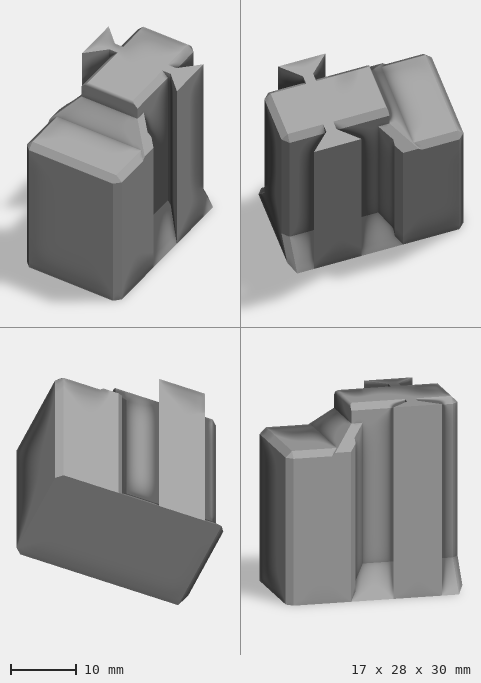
import cadquery as cq

width = 17.0
depth = 28.0
height = 30.0
bevel = 1.0
half_width = width / 2

body_height = 24.0
body_back = 11.0

shoulder_top = 27.0
shoulder_start = 4.5
gusset = 1.8

neck_half = 5.0
neck_front = body_back
neck_edge_radius = 0.5

flare_height = 4.95
flare_front = 9.0

rib_center = 20.5
rib_root_half = 0.8
rib_tip_half = 3.8
rib_root_x = half_width - (rib_tip_half - rib_root_half)


def prism_along_z(points, z_low, z_high):
    """Extrude an XY outline between two heights."""
    return cq.Workplane("XY").workplane(offset=z_low).polyline(points).close().extrude(z_high - z_low)


def symmetric(points):
    """Complete an outline given by its +X half, mirrored about x = 0."""
    return points + [(-x, other) for x, other in reversed(points)]


def foot_outline(half):
    """Plan outline of the foot with bevelled rear corners."""
    return symmetric([(half, flare_front), (half, depth - bevel), (half - bevel, depth)])


def make_body():
    """Block bevelled on its upright and top edges."""
    block = cq.Workplane("XY").box(width, body_back, body_height, centered=(True, False, False))
    return block.edges("|Z or >Z").chamfer(bevel)


def make_shoulder():
    """Roofed web between body and neck, with its back corners at 45 degrees."""
    plan = symmetric([
        (half_width, shoulder_start),
        (half_width, body_back - bevel),
        (half_width - bevel, body_back),
        (neck_half + gusset, body_back),
        (neck_half, body_back + gusset),
    ])
    block = prism_along_z(plan, 0, shoulder_top)
    side_drop = half_width - neck_half
    side_roof = (
        cq.Workplane("XZ")
        .polyline(symmetric([
            (half_width, 0),
            (half_width, shoulder_top - side_drop),
            (neck_half, shoulder_top),
        ]))
        .close()
        .extrude(-depth)
    )
    front_drop = neck_front - shoulder_start
    front_roof = (
        cq.Workplane("YZ")
        .polyline([
            (shoulder_start, 0),
            (shoulder_start, shoulder_top - front_drop),
            (neck_front, shoulder_top),
            (depth, shoulder_top),
            (depth, 0),
        ])
        .close()
        .extrude(half_width, both=True)
    )
    return block.intersect(side_roof).intersect(front_roof)


def make_neck():
    """Upright block, bevelled at the rear and top, with a rounded top front edge."""
    length = depth - neck_front
    block = (
        cq.Workplane("XY")
        .center(0, neck_front)
        .box(2 * neck_half, length, height, centered=(True, False, False))
    )
    block = block.edges("(|Z and >Y) or (|Y and >Z) or (>Y and >Z)").chamfer(bevel)
    return block.edges(">Z and <Y").fillet(neck_edge_radius)


def make_foot():
    """Foot tapering from the full width up to the neck width."""
    return (
        cq.Workplane("XY")
        .polyline(foot_outline(half_width))
        .close()
        .workplane(offset=flare_height)
        .polyline(foot_outline(neck_half))
        .close()
        .loft(ruled=True)
    )


def make_ribs():
    """Both ribs as one full-height bar running through the neck."""
    plan = symmetric([
        (rib_root_x, rib_center - rib_root_half),
        (half_width, rib_center - rib_tip_half),
        (half_width, rib_center + rib_tip_half),
        (rib_root_x, rib_center + rib_root_half),
    ])
    return prism_along_z(plan, 0, height)


def rear_base_cutter():
    """Triangular bar removing the rear edge of the base."""
    return (
        cq.Workplane("YZ")
        .polyline([(depth - bevel, 0), (depth, 0), (depth, bevel)])
        .close()
        .extrude(half_width, both=True)
    )


result = (
    make_body()
    .union(make_shoulder())
    .union(make_neck())
    .union(make_foot())
    .union(make_ribs())
    .cut(rear_base_cutter())
    .clean()
)